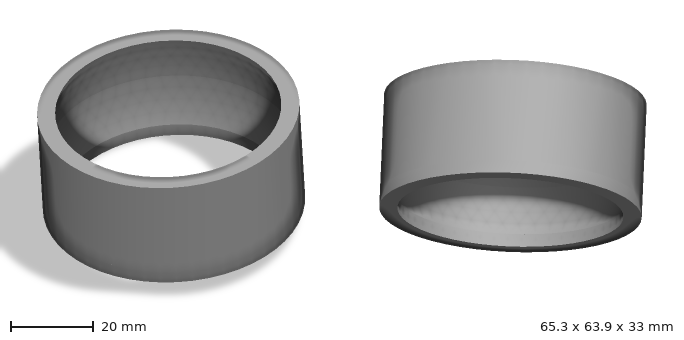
import cadquery as cq

INCH = 25.4

outer_radius = 2.5 * INCH / 2
housing_height = 1.0 * INCH
ring_thickness = 0.125 * INCH

seat_radius = 2.375 * INCH / 2
half_height = housing_height / 2
mouth_radius = (seat_radius**2 - half_height**2) ** 0.5

lean_angle = 4.06
lean_heading = 168.75


def lean(body):
    """Tilt a body built on the Z axis, pivoting about the seat centre at the origin."""
    unturned = body.rotate((0, 0, 0), (0, 0, 1), -lean_heading)
    tilted = unturned.rotate((0, 0, 0), (0, 1, 0), lean_angle)
    return tilted.rotate((0, 0, 0), (0, 0, 1), lean_heading)


def make_housing():
    """Sleeve with a spherical seat made of two hemispherical faces that meet at the equator."""
    quarter_height = half_height / 2
    quarter_radius = (seat_radius**2 - quarter_height**2) ** 0.5
    section = (
        cq.Workplane("XZ")
        .moveTo(-outer_radius, -half_height)
        .lineTo(-outer_radius, half_height)
        .lineTo(-mouth_radius, half_height)
        .threePointArc((-quarter_radius, quarter_height), (-seat_radius, 0))
        .threePointArc((-quarter_radius, -quarter_height), (-mouth_radius, -half_height))
        .close()
    )
    return section.revolve(360, (0, 0, 0), (0, 1, 0), clean=False)


def make_retaining_ring():
    """Flat ring under the housing, with its bore matching the mouth of the seat."""
    section = (
        cq.Workplane("XZ")
        .moveTo(-outer_radius, -half_height)
        .lineTo(-mouth_radius, -half_height)
        .lineTo(-mouth_radius, -half_height - ring_thickness)
        .lineTo(-outer_radius, -half_height - ring_thickness)
        .close()
    )
    return section.revolve(360, (0, 0, 0), (0, 1, 0), clean=False)


housing = lean(make_housing())
retaining_ring = lean(make_retaining_ring())

result = cq.Compound.makeCompound([housing.val(), retaining_ring.val()])